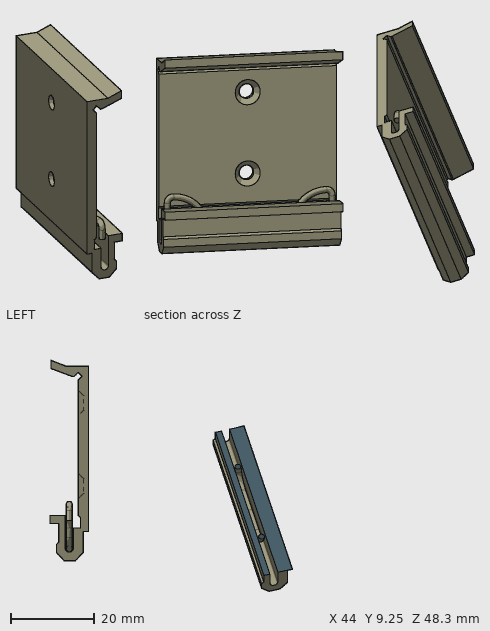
import cadquery as cq
import math

clip_length = 44.0
total_height = 48.3
clip_depth = 9.25
plate_thickness = 2.5
plate_bottom = 7.0
plate_top = 46.9

lip_bend_y = 5.45
lip_tip_y = 9.05
lip_tip_thickness = 2.05
lip_root_y = 3.85
lip_root_z = 44.35
lip_end_y = 3.55
notch_size = 0.9
notch_top_z = 45.35

relief_depth = 0.55
relief_top = 10.95
ledge_z = 7.9
slot_width = 1.9
slot_center_y = 4.65
slot_floor_z = 2.13
channel_front_y = 1.25
keel_front_y = 3.2
keel_back_y = 5.85
keel_height = 2.0
bulge_y = 7.75
bulge_top = 3.9
bulge_step = 0.55
foot_top = 10.9
foot_thickness = 2.0

hole_diameter = 3.57
hole_spacing = 20.0
lower_hole_z = 18.0
hole_straight_depth = 1.2
countersink_angle = 90.0

wire_diameter = 1.5
wire_radius = wire_diameter / 2
spring_end_gap = 0.85
spring_top = 14.35
hook_radius = 1.45
post_bottom = 9.7
shoulder_radius = 8.3
leg_tilt = 20.0
leg_height = 2.3


def make_hole_cutter(hole_z):
    """Through hole along Y, countersunk from the rear of the plate."""
    hole_radius = hole_diameter / 2
    sink_depth = plate_thickness - hole_straight_depth
    sink_radius = hole_radius + sink_depth * math.tan(math.radians(countersink_angle / 2))
    return (
        cq.Workplane("XY")
        .polyline([
            (0, 0),
            (hole_radius, 0),
            (hole_radius, hole_straight_depth),
            (sink_radius, plate_thickness),
            (0, plate_thickness),
        ])
        .close()
        .revolve(360, (0, 0), (0, 1))
        .translate((clip_length / 2, 0, hole_z))
    )


def make_clip():
    """Extruded rail clip with a round-bottomed spring slot and two countersunk holes."""
    slot_radius = slot_width / 2
    slot_front_y = slot_center_y - slot_radius
    slot_back_y = slot_center_y + slot_radius
    slot_round_z = slot_floor_z + slot_radius
    relief_y = plate_thickness - relief_depth
    arm_back_y = bulge_y - bulge_step
    foot_bottom = foot_top - foot_thickness

    section = (
        cq.Workplane("YZ")
        .moveTo(0, plate_bottom)
        .lineTo(0, plate_top)
        .lineTo(lip_bend_y, plate_top)
        .lineTo(lip_tip_y, total_height)
        .lineTo(lip_tip_y, total_height - lip_tip_thickness)
        .lineTo(lip_root_y, lip_root_z)
        .lineTo(lip_end_y, lip_root_z)
        .lineTo(plate_thickness, notch_top_z)
        .lineTo(plate_thickness - notch_size, notch_top_z - notch_size)
        .lineTo(plate_thickness, notch_top_z - 2 * notch_size)
        .lineTo(plate_thickness, relief_top)
        .lineTo(relief_y, relief_top - relief_depth)
        .lineTo(relief_y, ledge_z)
        .lineTo(slot_front_y, ledge_z)
        .lineTo(slot_front_y, slot_round_z)
        .threePointArc((slot_center_y, slot_floor_z), (slot_back_y, slot_round_z))
        .lineTo(slot_back_y, foot_top)
        .lineTo(clip_depth, foot_top)
        .lineTo(clip_depth, foot_bottom)
        .lineTo(arm_back_y, foot_bottom)
        .lineTo(arm_back_y, bulge_top + bulge_step)
        .lineTo(bulge_y, bulge_top)
        .lineTo(bulge_y, keel_height)
        .lineTo(keel_back_y, 0)
        .lineTo(keel_front_y, 0)
        .lineTo(channel_front_y, keel_height)
        .lineTo(channel_front_y, plate_bottom)
        .close()
    )
    clip = section.extrude(clip_length)
    for hole_z in (lower_hole_z, lower_hole_z + hole_spacing):
        clip = clip.cut(make_hole_cutter(hole_z))
    return clip


def make_spring():
    """Bent wire: short end posts arched over to a U resting on the slot floor."""
    bottom_z = slot_floor_z + wire_radius
    crest_z = spring_top - wire_radius
    post_top = crest_z - hook_radius
    left_post_x = spring_end_gap + wire_radius
    tilt = math.radians(leg_tilt)
    leg_top = crest_z - shoulder_radius * (1 - math.sin(tilt))
    leg_bottom = leg_top - leg_height
    foot_radius = (leg_bottom - bottom_z) / (1 - math.sin(tilt))
    foot_offset = (
        hook_radius
        + (shoulder_radius + foot_radius) * math.cos(tilt)
        + leg_height * math.tan(tilt)
    )
    shoulder_center_z = crest_z - shoulder_radius
    foot_center_z = bottom_z + foot_radius

    def on_bend(offset, center_z, radius, angle):
        """Point on a bend whose center lies the given offset inward from the left post."""
        return (
            left_post_x + offset + radius * math.cos(angle),
            center_z + radius * math.sin(angle),
        )

    hook = (hook_radius, post_top, hook_radius)
    shoulder = (hook_radius, shoulder_center_z, shoulder_radius)
    foot = (foot_offset, foot_center_z, foot_radius)
    up = math.pi / 2
    down = math.pi * 3 / 2
    leg_direction = math.pi + tilt

    half_path = (
        cq.Workplane("XZ", origin=(0, slot_center_y, 0))
        .moveTo(left_post_x, post_bottom)
        .lineTo(left_post_x, post_top)
        .threePointArc(on_bend(*hook, (math.pi + up) / 2), on_bend(*hook, up))
        .threePointArc(on_bend(*shoulder, (up + tilt) / 2), on_bend(*shoulder, tilt))
        .lineTo(*on_bend(*foot, leg_direction))
        .threePointArc(on_bend(*foot, (leg_direction + down) / 2), on_bend(*foot, down))
        .lineTo(clip_length / 2, bottom_z)
    )
    half_spring = (
        cq.Workplane("XY", origin=(left_post_x, slot_center_y, post_bottom))
        .circle(wire_radius)
        .sweep(half_path)
    )
    other_half = half_spring.mirror("YZ", (clip_length / 2, 0, 0))
    return half_spring.union(other_half)


clip = make_clip()
spring = make_spring()

result = cq.Compound.makeCompound([clip.val(), spring.solids().val()])